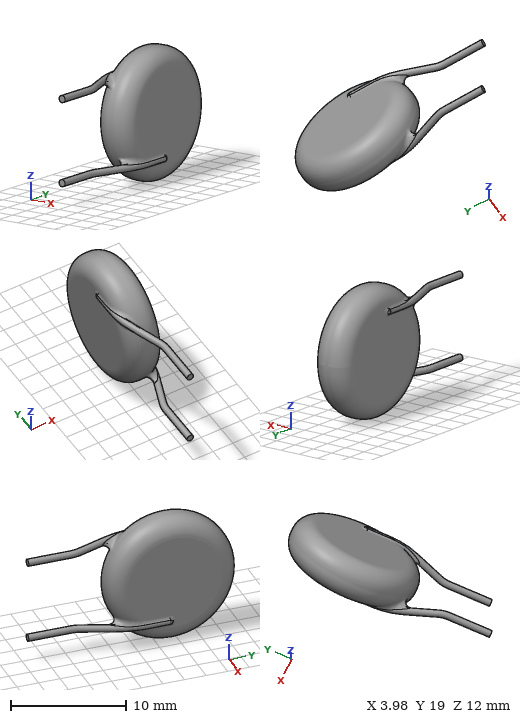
import cadquery as cq
import math

disc_diameter = 12.0
disc_thickness = 3.6
rim_radius = 1.6

lead_diameter = 0.65
lead_pitch = 7.5
overall_width = 3.98
lead_tip_y = -13.0
lead_bend_y = -9.0
lead_end_y = -0.45
bend_angle = math.radians(20)
tail_bend_radius = 2.6
disc_bend_radius = 8.0
coating_fillet = 0.55
contact_tolerance = 1e-4

lead_radius = lead_diameter / 2
lead_offset = overall_width / 2 - lead_radius


def make_disc():
    disc = cq.Workplane("YZ").circle(disc_diameter / 2).extrude(disc_thickness / 2, both=True)
    return disc.edges().fillet(rim_radius)


def bend_path():
    """Lead centre line in X and Y: straight tail, two opposite bends, straight run on the disc face."""
    sin_bend = math.sin(bend_angle)
    cos_bend = math.cos(bend_angle)
    sin_half = math.sin(bend_angle / 2)
    cos_half = math.cos(bend_angle / 2)

    tail_rise = tail_bend_radius * (1 - cos_bend)
    disc_rise = disc_bend_radius * (1 - cos_bend)
    slope_rise = lead_offset - tail_rise - disc_rise

    slope_start = (-tail_rise, lead_bend_y + tail_bend_radius * sin_bend)
    slope_end = (slope_start[0] - slope_rise, slope_start[1] + slope_rise * cos_bend / sin_bend)
    face_start = (-lead_offset, slope_end[1] + disc_bend_radius * sin_bend)

    tail_bend_middle = (-tail_bend_radius * (1 - cos_half), lead_bend_y + tail_bend_radius * sin_half)
    disc_bend_middle = (
        -lead_offset + disc_bend_radius * (1 - cos_half),
        face_start[1] - disc_bend_radius * sin_half,
    )
    return (
        cq.Workplane("XY")
        .moveTo(0, lead_tip_y)
        .lineTo(0, lead_bend_y)
        .threePointArc(tail_bend_middle, slope_start)
        .lineTo(*slope_end)
        .threePointArc(disc_bend_middle, face_start)
        .lineTo(-lead_offset, lead_end_y)
    )


def make_lead():
    """Lead on the -X face, swept along the bent centre line, with a rounded end."""
    wire = cq.Workplane("XZ", origin=(0, lead_tip_y, 0)).circle(lead_radius).sweep(bend_path())
    rounded_end = cq.Workplane("XY").sphere(lead_radius).translate((-lead_offset, lead_end_y, 0))
    return wire.union(rounded_end).translate((0, 0, lead_pitch / 2))


def seam_edges(joined, disc, lead):
    """Edges of the joined shape that lie on the surfaces of both the disc and the lead."""
    disc_shell = disc.val().Shells()[0]
    lead_shell = lead.val().Shells()[0]
    seam = []
    for edge in joined.edges().vals():
        middle = cq.Vertex.makeVertex(*edge.positionAt(0.5).toTuple())
        on_disc = middle.distance(disc_shell) < contact_tolerance
        on_lead = middle.distance(lead_shell) < contact_tolerance
        if on_disc and on_lead:
            seam.append(edge)
    return seam


def coat_lead(body, disc, lead):
    """Fillet the body onto one lead, then take the lead's own room back out as a groove."""
    joined = body.union(lead)
    return joined.newObject(seam_edges(joined, disc, lead)).fillet(coating_fillet).cut(lead)


disc = make_disc()
face_lead = make_lead()

body = disc
leads = []
for turn in (0, 180):
    lead = face_lead.rotate((0, 0, 0), (0, 1, 0), turn)
    body = coat_lead(body, disc, lead)
    leads.append(lead)

result = cq.Compound.makeCompound([body.val(), *[lead.val() for lead in leads]])